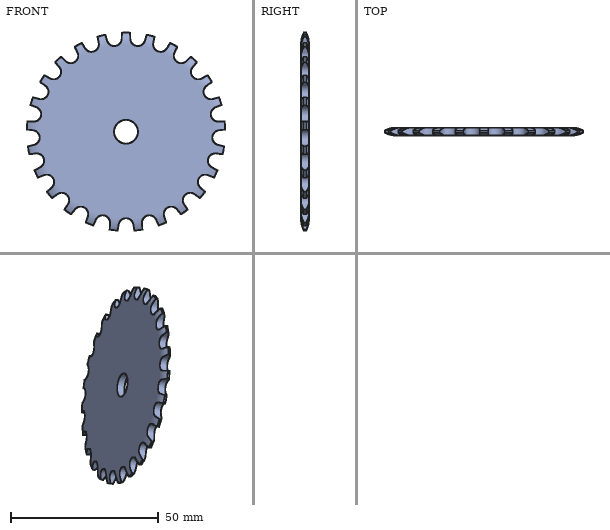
import cadquery as cq
import math

tooth_count = 25
outer_radius = 33.75
thickness = 2.8
bore_diameter = 8.0
face_radius = 29.8
side_radius = 8.0
root_radius = 29.4
seat_radius = 2.5
flank_angle = 10.0

half_thickness = thickness / 2
pitch_radius = root_radius + seat_radius
tooth_pitch = 360 / tooth_count
cutter_radius = outer_radius + 1.35


def side_half_width(radius):
    """Half thickness of the blank at a radius on the rounded tooth side."""
    run = radius - face_radius
    return half_thickness - side_radius + math.sqrt(side_radius**2 - run**2)


def make_blank():
    """Revolved disc with its bore and a rim rounded down to a narrow cylindrical tip."""
    bore_radius = bore_diameter / 2
    middle_radius = (face_radius + outer_radius) / 2
    middle_width = side_half_width(middle_radius)
    tip_width = side_half_width(outer_radius)
    section = (
        cq.Workplane("XY")
        .moveTo(bore_radius, -half_thickness)
        .lineTo(face_radius, -half_thickness)
        .threePointArc((middle_radius, -middle_width), (outer_radius, -tip_width))
        .lineTo(outer_radius, tip_width)
        .threePointArc((middle_radius, middle_width), (face_radius, half_thickness))
        .lineTo(bore_radius, half_thickness)
        .close()
    )
    return section.revolve(360, (0, 0, 0), (0, 1, 0))


def make_gap():
    """Cutter for one tooth gap at +Z: a round seat with straight flanks tangent to it."""
    angle = math.radians(flank_angle)
    tangent_x = seat_radius * math.cos(angle)
    tangent_z = pitch_radius - seat_radius * math.sin(angle)
    mouth_x = tangent_x + (cutter_radius - tangent_z) * math.tan(angle)
    return (
        cq.Workplane("XZ")
        .moveTo(-mouth_x, cutter_radius)
        .lineTo(-tangent_x, tangent_z)
        .threePointArc((0, root_radius), (tangent_x, tangent_z))
        .lineTo(mouth_x, cutter_radius)
        .close()
        .extrude(half_thickness, both=True)
    )


result = make_blank()
gap = make_gap()
for index in range(tooth_count):
    gap_angle = (index + 0.5) * tooth_pitch
    result = result.cut(gap.rotate((0, 0, 0), (0, 1, 0), gap_angle))